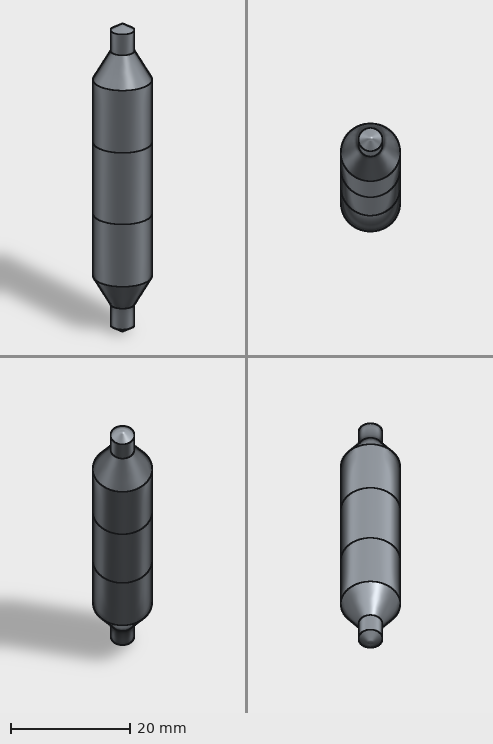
import cadquery as cq
import math

total_length = 55.9
body_diameter = 10.0
middle_length = 12.95

pilot_diameter = 4.0
pilot_point_angle = 118.0
countersink_angle = 60.0
shoulder_height = 17.75

body_radius = body_diameter / 2
pilot_radius = pilot_diameter / 2
tip_height = total_length / 2
pilot_point_height = pilot_radius / math.tan(math.radians(pilot_point_angle / 2))
cone_height = (body_radius - pilot_radius) / math.tan(math.radians(countersink_angle / 2))


def make_middle():
    """Plain cylinder between the two drill ends."""
    return (
        cq.Workplane("XY", origin=(0, 0, -middle_length / 2))
        .circle(body_radius)
        .extrude(middle_length)
    )


def make_drill_end(direction):
    """Pointed end body; direction is +1 for the upper end and -1 for the lower."""
    profile = [
        (0, middle_length / 2),
        (body_radius, middle_length / 2),
        (body_radius, shoulder_height),
        (pilot_radius, shoulder_height + cone_height),
        (pilot_radius, tip_height - pilot_point_height),
        (0, tip_height),
    ]
    return (
        cq.Workplane("XZ")
        .polyline([(radius, direction * height) for radius, height in profile])
        .close()
        .revolve(360, (0, 0, 0), (0, 1, 0))
    )


middle = make_middle()
drill_ends = [make_drill_end(direction) for direction in (1, -1)]

result = cq.Compound.makeCompound([middle.val(), *[end.val() for end in drill_ends]])